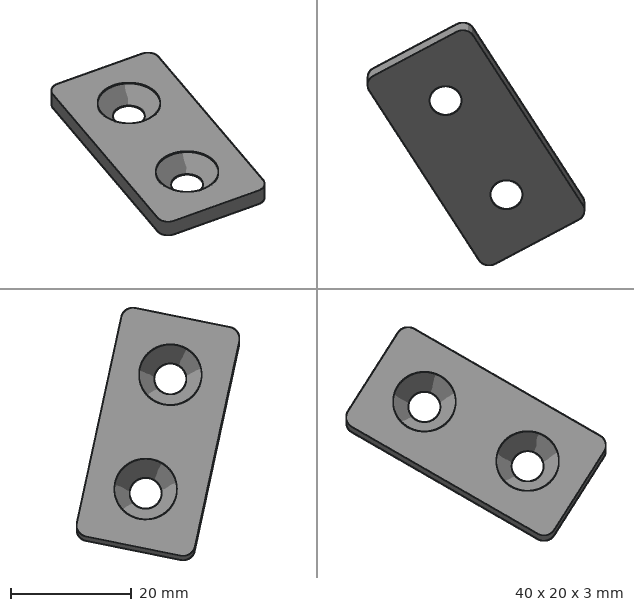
import cadquery as cq

length = 40.0
width = length / 2
thickness = 3.0
corner_radius = 2.0

hole_spacing = length / 2
hole_diameter = 5.3
sink_diameter = 10.4
rim_depth = 0.25
cone_depth = (sink_diameter - hole_diameter) / 2


def make_plate():
    """Flat plate with rounded vertical corners, resting on Z = 0."""
    plate = cq.Workplane("XY").box(length, width, thickness, centered=(True, True, False))
    return plate.edges("|Z").fillet(corner_radius)


def make_hole_cutter(x):
    """Revolved through hole with a conical seat and a straight rim at the top."""
    hole_radius = hole_diameter / 2
    sink_radius = sink_diameter / 2
    cone_top = thickness - rim_depth
    profile = (
        cq.Workplane("XZ")
        .moveTo(0, 0)
        .lineTo(hole_radius, 0)
        .lineTo(hole_radius, cone_top - cone_depth)
        .lineTo(sink_radius, cone_top)
        .lineTo(sink_radius, thickness)
        .lineTo(0, thickness)
        .close()
    )
    return profile.revolve(360, (0, 0, 0), (0, 1, 0)).translate((x, 0, 0))


result = make_plate()
for side in (-1, 1):
    result = result.cut(make_hole_cutter(side * hole_spacing / 2))